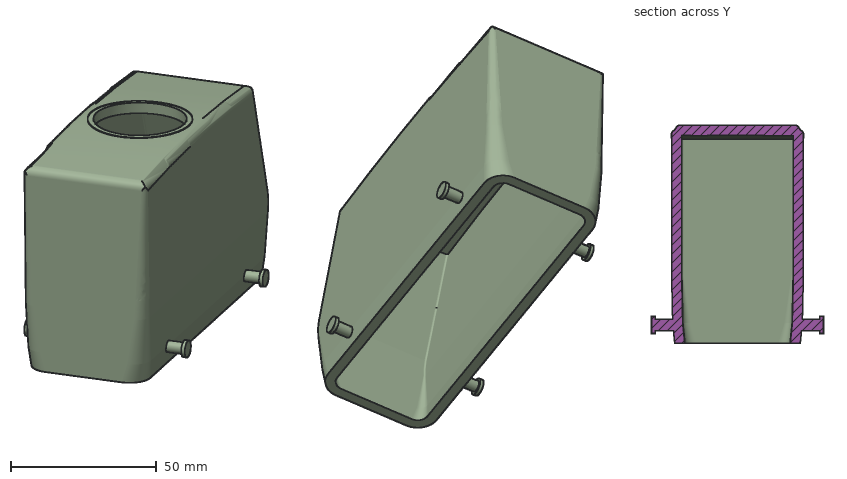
import cadquery as cq
import math

length = 120.0
height = 76.0
pin_span = 59.0

skirt_z = 7.0
shoulder_z = 23.5
knee_low_z = 27.0
knee_z = 28.7
knee_high_z = 30.5
loft_top_z = 79.2

upper_half_width = 22.7
skirt_half_width = 22.3
rim_half_width = 21.6

end_draft = 0.013
ramp_angle = 20.0

rim_corner = 7.5
skirt_corner = 6.2
front_shoulder_corner = 4.1
rear_shoulder_corner = 3.1
knee_corner = 2.8
top_corner = 1.3
smallest_corner = 0.6

boss_height = 0.2
crown_radius = 600.0
crown_z = height - boss_height
crown_y = -6.1
roof_fillet = 3.0
ramp_fillet = 2.0

wall = 3.6
boss_diameter = 36.0
entry_diameter = 32.0

pin_y = 37.1
pin_z = 6.4
pin_diameter = 4.1
head_diameter = 6.0
head_thickness = 1.3


def front_y(z):
    return -length / 2 + end_draft * z


def rear_y(z):
    wall_y = length / 2 - end_draft * min(z, knee_z)
    return wall_y - math.tan(math.radians(ramp_angle)) * max(z - knee_z, 0)


def between(z, z_low, z_high, low, high):
    """Linear blend between the values at two levels."""
    return low + (high - low) * (z - z_low) / (z_high - z_low)


def front_corner(z):
    return between(z, shoulder_z, loft_top_z, front_shoulder_corner, top_corner)


levels = [
    (0.0, rim_half_width, rim_corner, rim_corner),
    (skirt_z, skirt_half_width, skirt_corner, skirt_corner),
    (shoulder_z, upper_half_width, front_shoulder_corner, rear_shoulder_corner),
    (knee_low_z, upper_half_width, front_corner(knee_low_z), knee_corner),
    (knee_high_z, upper_half_width, front_corner(knee_high_z), knee_corner),
    (loft_top_z, upper_half_width, top_corner, top_corner),
]


def section(z, half_width, front_radius, rear_radius, inset):
    """Rounded rectangle at one level, moved inwards by the inset."""
    x = half_width - inset
    front = front_y(z) + inset
    rear = rear_y(z) - inset
    fr = max(front_radius - inset, smallest_corner)
    rr = max(rear_radius - inset, smallest_corner)
    diag = 1 - math.sqrt(0.5)
    outline = (
        cq.Workplane("XY", origin=(0, 0, z))
        .moveTo(-x + fr, front)
        .lineTo(x - fr, front)
        .threePointArc((x - fr * diag, front + fr * diag), (x, front + fr))
        .lineTo(x, rear - rr)
        .threePointArc((x - rr * diag, rear - rr * diag), (x - rr, rear))
        .lineTo(-x + rr, rear)
        .threePointArc((-x + rr * diag, rear - rr * diag), (-x, rear - rr))
        .lineTo(-x, front + fr)
        .threePointArc((-x + fr * diag, front + fr * diag), (-x + fr, front))
        .close()
    )
    return outline.val()


def tapered_body(inset):
    """Stack of ruled sections, still open ended above the roof."""
    wires = [section(*level, inset) for level in levels]
    return cq.Workplane(cq.Solid.makeLoft(wires, True))


def crown(radius):
    """Large cylinder along X whose top is the roof surface."""
    return (
        cq.Workplane("YZ", origin=(-length / 2, crown_y, crown_z - crown_radius))
        .circle(radius)
        .extrude(length)
    )


def roof_end(end_y):
    """Selector for the cross edge where an end wall meets the roof."""
    reach = 3.6
    y = end_y(crown_z)
    low_corner = (-reach, y - reach, crown_z - reach)
    high_corner = (reach, y + reach, loft_top_z)
    return cq.selectors.BoxSelector(low_corner, high_corner)


def side_profile():
    """Lengthwise outline of the hood, rounded where the end walls meet the roof."""
    rear_zs = [loft_top_z, knee_high_z, knee_low_z, 0]
    outline = [(front_y(0), 0), (front_y(loft_top_z), loft_top_z)]
    outline += [(rear_y(z), z) for z in rear_zs]
    block = (
        cq.Workplane("YZ", origin=(-upper_half_width, 0, 0))
        .polyline(outline)
        .close()
        .extrude(2 * upper_half_width)
        .intersect(crown(crown_radius))
    )
    block = block.edges(roof_end(rear_y)).fillet(ramp_fillet)
    return block.edges(roof_end(front_y)).fillet(roof_fillet)


def crowned_bar():
    """Overlong bar with the crowned roof, rounded along both long roof edges."""
    bar_length = 1.2 * length
    bar = (
        cq.Workplane("XY")
        .box(2 * upper_half_width, bar_length, loft_top_z, centered=(True, True, False))
        .intersect(crown(crown_radius))
    )
    return bar.edges("%CIRCLE").fillet(roof_fillet)


def cable_entry_disc(diameter, top_radius):
    """Upright cylinder on the entry axis, capped by the given crown."""
    floor_z = crown_z - 2 * wall
    disc = (
        cq.Workplane("XY", origin=(0, crown_y, floor_z))
        .circle(diameter / 2)
        .extrude(loft_top_z - floor_z)
    )
    return disc.intersect(crown(top_radius))


def pin(side, y):
    """Headed pin standing out of one side wall."""
    root_x = rim_half_width - wall / 2
    tip_x = pin_span / 2
    axis = cq.Workplane("YZ", origin=(side * root_x, y, pin_z))
    shank = axis.circle(pin_diameter / 2).extrude(side * (tip_x - root_x))
    head = (
        cq.Workplane("YZ", origin=(side * (tip_x - head_thickness), y, pin_z))
        .circle(head_diameter / 2)
        .extrude(side * head_thickness)
    )
    return shank.union(head)


hood = tapered_body(0).intersect(side_profile()).intersect(crowned_bar())
hood = hood.union(cable_entry_disc(boss_diameter, crown_radius + boss_height))
cavity = tapered_body(wall).intersect(crown(crown_radius - wall))
hood = hood.cut(cavity)
hood = hood.cut(cable_entry_disc(entry_diameter, crown_radius + wall))

for side in (-1, 1):
    for y in (-pin_y, pin_y):
        hood = hood.union(pin(side, y))

result = hood